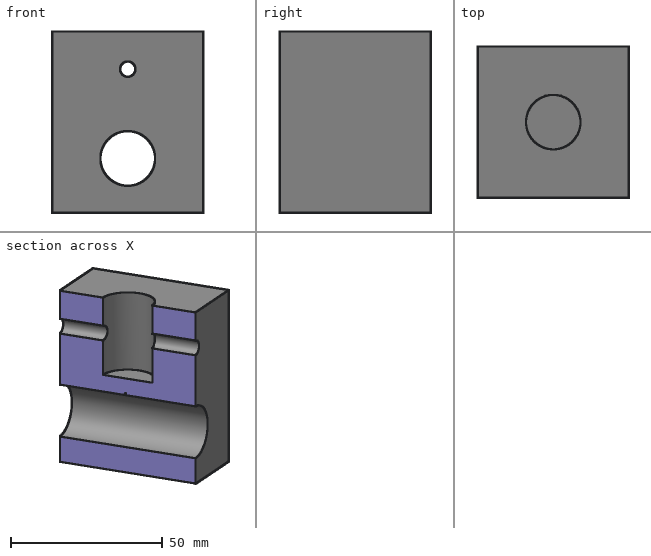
import cadquery as cq

height = 60.0
width = 50.0

bore_diameter = 18.0
cross_bore_height = 18.0
vertical_bore_depth = 27.0

pin_diameter = 5.0
pin_drop = width / 4
pin_height = height - pin_drop


def cross_hole(diameter, hole_height):
    """Cylinder along Y, through the whole block, on the X centre."""
    return (
        cq.Workplane("XZ")
        .center(0, hole_height)
        .circle(diameter / 2)
        .extrude(width / 2, both=True)
    )


block = cq.Workplane("XY").box(width, width, height, centered=(True, True, False))
vertical_bore = (
    cq.Workplane("XY")
    .workplane(offset=height - vertical_bore_depth)
    .circle(bore_diameter / 2)
    .extrude(vertical_bore_depth)
)

result = (
    block
    .cut(vertical_bore)
    .cut(cross_hole(bore_diameter, cross_bore_height))
    .cut(cross_hole(pin_diameter, pin_height))
)